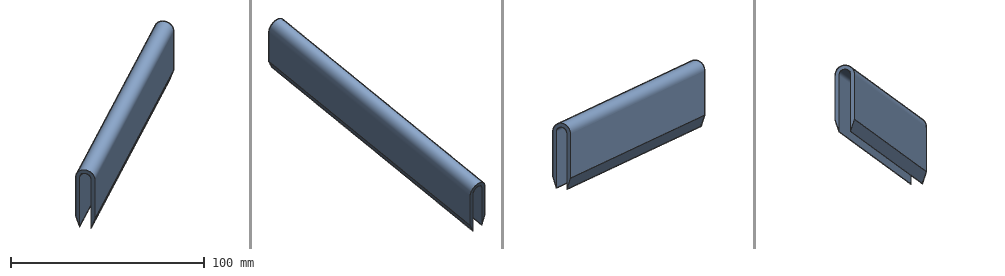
import cadquery as cq

length = 152.4
width = 10.4
height = 34.9
wall = 2.1
bevel_height = 6.2

outer_radius = width / 2
inner_radius = outer_radius - wall
arch_center_z = height / 2 - outer_radius
bottom_z = -height / 2
bevel_top_z = bottom_z + bevel_height


def clip_profile():
    """Inverted U whose legs taper on the outside to sharp lower edges."""
    return (
        cq.Workplane("XZ")
        .moveTo(-inner_radius, bottom_z)
        .lineTo(-outer_radius, bevel_top_z)
        .lineTo(-outer_radius, arch_center_z)
        .threePointArc((0, arch_center_z + outer_radius), (outer_radius, arch_center_z))
        .lineTo(outer_radius, bevel_top_z)
        .lineTo(inner_radius, bottom_z)
        .lineTo(inner_radius, arch_center_z)
        .threePointArc((0, arch_center_z + inner_radius), (-inner_radius, arch_center_z))
        .close()
    )


result = clip_profile().extrude(length / 2, both=True)